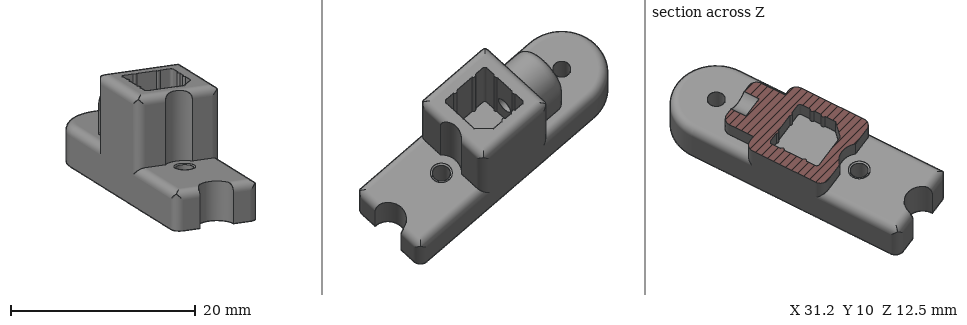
import cadquery as cq

length = 31.2
width = 10.0
base_height = 4.5
edge_radius = 1.0

tower_start = 11.7
tower_length = 9.98
tower_height = 12.5
tower_center = tower_start + tower_length / 2
tower_end = tower_start + tower_length

socket_size = 6.1
socket_half = socket_size / 2
socket_corner_radius = 0.3
socket_chamfer = 1.5
socket_floor = base_height
rib_half_width = 0.25
tall_rib_height = 0.2
low_rib_height = 0.12
rib_offset = 1.4

boss_start = 7.7
boss_radius = 3.3
boss_axis_height = 7.52
bore_radius = 1.85
bore_depth = 1.87
inner_bore_radius = 0.95

end_hole_x = width / 2
end_hole_radius = 0.97
screw_x = 23.15
screw_hole_radius = 0.97
countersink_width = 0.22
countersink_depth = 0.1
screw_head_radius = 2.18
notch_radius = 2.0


def block(start_x, end_x, height):
    """Box of full width standing on Z = 0."""
    size_x = end_x - start_x
    floor = cq.Workplane("XY", origin=(start_x, 0, 0))
    return floor.box(size_x, width, height, centered=(False, True, False))


def vertical_cylinder(x, radius, bottom, top):
    return cq.Workplane("XY", origin=(x, 0, bottom)).circle(radius).extrude(top - bottom)


def make_base():
    end_radius = width / 2
    outline = (
        cq.Workplane("XY")
        .moveTo(length, -end_radius)
        .lineTo(end_radius, -end_radius)
        .threePointArc((0, 0), (end_radius, end_radius))
        .lineTo(length, end_radius)
        .close()
    )
    plate = outline.extrude(base_height)
    plate = plate.faces(">Z").edges("not(>X)").fillet(edge_radius)
    rounded_end = block(0, length, base_height).faces(">X").edges(">Z").fillet(edge_radius)
    rounded_corners = block(0, length, base_height).edges("|Z and >X").fillet(edge_radius)
    return plate.intersect(rounded_end).intersect(rounded_corners)


def make_tower():
    tower = block(tower_start, tower_end, tower_height).edges("|Z").fillet(edge_radius)
    for direction in ("|X", "|Y"):
        rounded = block(tower_start, tower_end, tower_height).faces(">Z").edges(direction).fillet(edge_radius)
        tower = tower.intersect(rounded)
    return tower


def make_boss():
    boss = (
        cq.Workplane("YZ", origin=(boss_start, 0, 0))
        .moveTo(-boss_radius, 0)
        .lineTo(-boss_radius, boss_axis_height)
        .threePointArc((0, boss_axis_height + boss_radius), (boss_radius, boss_axis_height))
        .lineTo(boss_radius, 0)
        .close()
        .extrude(tower_center - boss_start)
    )
    return boss.faces("<X").edges("not(<Z)").fillet(edge_radius)


def make_rib(wall_angle, offset, rib_height):
    """Rounded rib built on the -Y wall of the socket, then turned about the tower axis to its wall."""
    wall = -socket_half
    return (
        cq.Workplane("XY", origin=(0, 0, socket_floor))
        .moveTo(offset - rib_half_width, wall)
        .threePointArc((offset, wall + rib_height), (offset + rib_half_width, wall))
        .close()
        .extrude(tower_height - socket_floor)
        .rotate((0, 0, 0), (0, 0, 1), wall_angle)
    )


def make_socket():
    depth = tower_height - socket_floor
    socket = cq.Workplane("XY", origin=(0, 0, socket_floor)).rect(socket_size, socket_size).extrude(depth)
    socket = socket.edges("|Z and (<X or <Y)").fillet(socket_corner_radius)
    socket = socket.edges("|Z and >X and >Y").chamfer(socket_chamfer)
    ribs = (
        (0, -rib_offset, tall_rib_height),
        (0, rib_offset, tall_rib_height),
        (180, 0, tall_rib_height),
        (180, rib_offset, tall_rib_height),
        (-90, -rib_offset, low_rib_height),
        (-90, rib_offset, low_rib_height),
    )
    for wall_angle, offset, rib_height in ribs:
        socket = socket.cut(make_rib(wall_angle, offset, rib_height))
    return socket.translate((tower_center, 0, 0))


def boss_bore(radius, end_x):
    return cq.Workplane("YZ", origin=(boss_start, 0, boss_axis_height)).circle(radius).extrude(end_x - boss_start)


def make_screw_hole():
    hole = vertical_cylinder(screw_x, screw_hole_radius, 0, base_height)
    countersink = cq.Workplane(
        cq.Solid.makeCone(
            screw_hole_radius,
            screw_hole_radius + countersink_width,
            countersink_depth,
            pnt=cq.Vector(screw_x, 0, base_height - countersink_depth),
        )
    )
    return hole.union(countersink)


result = make_base().union(make_tower()).union(make_boss())
result = result.cut(make_socket())
result = result.cut(boss_bore(bore_radius, boss_start + bore_depth))
result = result.cut(boss_bore(inner_bore_radius, tower_center))
result = result.cut(vertical_cylinder(end_hole_x, end_hole_radius, 0, base_height))
result = result.cut(make_screw_hole())
result = result.cut(vertical_cylinder(screw_x, screw_head_radius, base_height, tower_height))
result = result.cut(vertical_cylinder(length, notch_radius, 0, base_height))